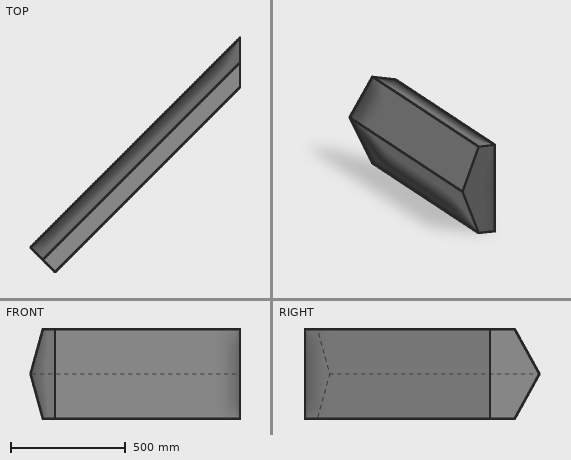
import cadquery as cq
import math

HEIGHT = 390.52
LENGTH_X = 912.23
THICKNESS = 152.40
EDGE_THICKNESS = THICKNESS / 2
BEAM_ANGLE = 45.0

angle = math.radians(BEAM_ANGLE)
end_offset_x = THICKNESS * math.sin(angle)
blank_length = LENGTH_X / math.cos(angle) + THICKNESS


def beam_blank():
    """Five-sided bar with a ridge at mid-height, square at both ends."""
    profile = [
        (0, 0),
        (EDGE_THICKNESS, 0),
        (THICKNESS, HEIGHT / 2),
        (EDGE_THICKNESS, HEIGHT),
        (0, HEIGHT),
    ]
    bar = cq.Workplane("YZ").polyline(profile).close().extrude(blank_length)
    turned = bar.rotate((0, 0, 0), (0, 0, 1), BEAM_ANGLE)
    return turned.translate((end_offset_x, 0, 0))


def trim_envelope():
    """Block whose +X side is the plane of the mitred end."""
    depth = 2 * blank_length
    return cq.Workplane("XY").box(LENGTH_X, depth, HEIGHT, centered=(False, True, False))


result = beam_blank().intersect(trim_envelope())